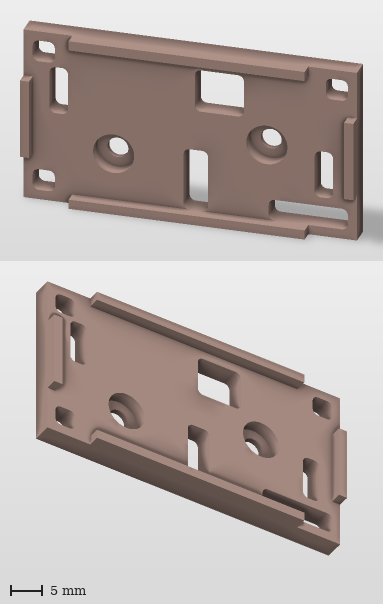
import cadquery as cq

LENGTH = 54.4
HEIGHT = 29.2
DEPTH = 5.35
PLATE_THICKNESS = 3.35
RIM_HEIGHT = DEPTH - PLATE_THICKNESS

LONG_RIM_LENGTH = 38.5
LONG_RIM_WIDTH = 1.6
END_RIM_LENGTH = 13.3
END_RIM_WIDTH = 1.5

CORNER_RADIUS = 1.0
INNER_X = LENGTH / 2 - END_RIM_WIDTH
INNER_Z = HEIGHT / 2 - LONG_RIM_WIDTH
CORNER_WINDOW = 3.6
END_SLOT_LENGTH = 8.0
END_SLOT_WIDTH = 3.0
LEFT_SLOT_CENTER = (-21.45, 4.75)
RIGHT_SLOT_CENTER = (21.8, -3.9)
LARGE_WINDOW_SIZE = (8.0, 7.2)
LARGE_WINDOW_CENTER = (4.75, 7.9)
CENTER_SLOT_WIDTH = 4.0
CENTER_SLOT_LENGTH = 10.5
CENTER_SLOT_X = 0.9
BOTTOM_SLOT_LENGTH = 12.9

SCREW_CENTERS = [(-12.5, -5.0), (12.5, 0.0)]
SCREW_DIAMETER = 3.4
COUNTERBORE_DIAMETER = 6.7
SCREW_FLOOR_THICKNESS = 1.0
COUNTERBORE_DEPTH = PLATE_THICKNESS - SCREW_FLOOR_THICKNESS


def block(size_x, size_z, center, y_start, y_end):
    """Rectangular block spanning y_start to y_end, centred at (x, z)."""
    thickness = y_end - y_start
    return cq.Workplane("XY").box(size_x, thickness, size_z).translate(
        (center[0], (y_start + y_end) / 2, center[1])
    )


def window(size_x, size_z, center):
    """Cutter for a through window with rounded corners."""
    cutter = block(size_x, size_z, center, 0, PLATE_THICKNESS)
    return cutter.edges("|Y").fillet(CORNER_RADIUS)


def cylinder(diameter, center, depth):
    """Cylinder running from the open face into the plate."""
    origin = (center[0], 0, center[1])
    return cq.Workplane("XZ", origin=origin).circle(diameter / 2).extrude(-depth)


def add_rims(body):
    """Raise the rim strips in front of the open face."""
    long_rim_z = (HEIGHT - LONG_RIM_WIDTH) / 2
    end_rim_x = (LENGTH - END_RIM_WIDTH) / 2
    for side in (-1, 1):
        long_center = (0, side * long_rim_z)
        end_center = (side * end_rim_x, 0)
        long_rim = block(LONG_RIM_LENGTH, LONG_RIM_WIDTH, long_center, -RIM_HEIGHT, PLATE_THICKNESS)
        end_rim = block(END_RIM_WIDTH, END_RIM_LENGTH, end_center, -RIM_HEIGHT, PLATE_THICKNESS)
        body = body.union(long_rim).union(end_rim)
    return body


def cut_windows(body):
    """Cut the corner windows, the slots and the large window."""
    corner_x = INNER_X - CORNER_WINDOW / 2
    corner_z = INNER_Z - CORNER_WINDOW / 2
    for center in [(-corner_x, corner_z), (-corner_x, -corner_z), (corner_x, corner_z)]:
        body = body.cut(window(CORNER_WINDOW, CORNER_WINDOW, center))

    for center in (LEFT_SLOT_CENTER, RIGHT_SLOT_CENTER):
        body = body.cut(window(END_SLOT_WIDTH, END_SLOT_LENGTH, center))

    body = body.cut(window(*LARGE_WINDOW_SIZE, LARGE_WINDOW_CENTER))

    center_slot_z = CENTER_SLOT_LENGTH / 2 - INNER_Z
    body = body.cut(window(CENTER_SLOT_WIDTH, CENTER_SLOT_LENGTH, (CENTER_SLOT_X, center_slot_z)))

    bottom_slot_x = INNER_X - BOTTOM_SLOT_LENGTH / 2
    body = body.cut(window(BOTTOM_SLOT_LENGTH, CORNER_WINDOW, (bottom_slot_x, -corner_z)))
    return body


def cut_screw_holes(body):
    """Cut the counterbored screw holes from the open face."""
    for center in SCREW_CENTERS:
        body = body.cut(cylinder(SCREW_DIAMETER, center, PLATE_THICKNESS))
        body = body.cut(cylinder(COUNTERBORE_DIAMETER, center, COUNTERBORE_DEPTH))
    return body


plate = block(LENGTH, HEIGHT, (0, 0), 0, PLATE_THICKNESS)
result = cut_screw_holes(cut_windows(add_rims(plate)))